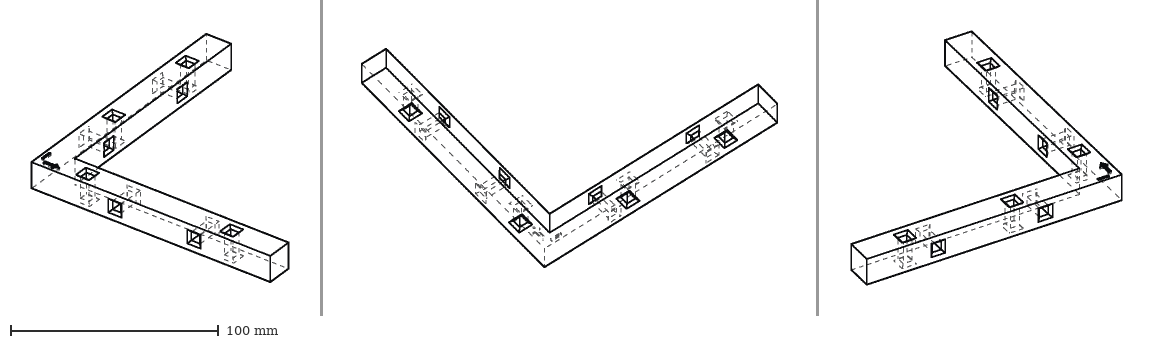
import cadquery as cq

leg_length = 142.5
bar_width = 15.0
bar_middle = bar_width / 2

hole_side = 5.0
mouth_side = 8.0
flare_depth = (mouth_side - hole_side) / 2

x_leg_vertical_holes = (28.1, 114.0)
x_leg_side_holes = (49.9, 96.9)
y_leg_vertical_holes = (57.0, 116.8)
y_leg_side_holes = (42.8, 102.6)

mark_depth = 1.0
arrow_tail_x = 5.0
arrow_head_x = 11.0
arrow_tip_x = 13.8
arrow_y = 3.7
arrow_shaft_width = 1.5
arrow_head_width = 4.3
bar_mark_x = 2.4
bar_mark_y = 9.0
bar_mark_width = 1.0
bar_mark_length = 6.0


def make_bar():
    x_leg = cq.Workplane("XY").box(leg_length, bar_width, bar_width, centered=False)
    y_leg = cq.Workplane("XY").box(bar_width, leg_length, bar_width, centered=False)
    return x_leg.union(y_leg)


def make_hole_cutter():
    """Flared square hole along Z, centred on the origin and as long as the bar is thick."""
    cutter = cq.Workplane("XY").box(hole_side, hole_side, bar_width)
    flare = (
        cq.Workplane("XY", origin=(0, 0, bar_width / 2 - flare_depth))
        .rect(hole_side, hole_side)
        .workplane(offset=flare_depth)
        .rect(mouth_side, mouth_side)
        .loft(ruled=True)
    )
    return cutter.union(flare).union(flare.mirror("XY"))


def make_arrow():
    half_shaft = arrow_shaft_width / 2
    half_head = arrow_head_width / 2
    outline = [
        (arrow_tail_x, arrow_y - half_shaft),
        (arrow_head_x, arrow_y - half_shaft),
        (arrow_head_x, arrow_y - half_head),
        (arrow_tip_x, arrow_y),
        (arrow_head_x, arrow_y + half_head),
        (arrow_head_x, arrow_y + half_shaft),
        (arrow_tail_x, arrow_y + half_shaft),
    ]
    top_face = cq.Workplane("XY", origin=(0, 0, bar_width))
    return top_face.polyline(outline).close().extrude(-mark_depth)


def make_bar_mark():
    top_face = cq.Workplane("XY", origin=(0, 0, bar_width))
    slot = top_face.center(bar_mark_x, bar_mark_y).rect(bar_mark_width, bar_mark_length)
    return slot.extrude(-mark_depth)


along_z = make_hole_cutter()
along_y = along_z.rotate((0, 0, 0), (1, 0, 0), 90)
along_x = along_z.rotate((0, 0, 0), (0, 1, 0), 90)

result = make_bar()

for x in x_leg_vertical_holes:
    result = result.cut(along_z.translate((x, bar_middle, bar_middle)))
for x in x_leg_side_holes:
    result = result.cut(along_y.translate((x, bar_middle, bar_middle)))
for y in y_leg_vertical_holes:
    result = result.cut(along_z.translate((bar_middle, y, bar_middle)))
for y in y_leg_side_holes:
    result = result.cut(along_x.translate((bar_middle, y, bar_middle)))

result = result.cut(make_arrow()).cut(make_bar_mark())